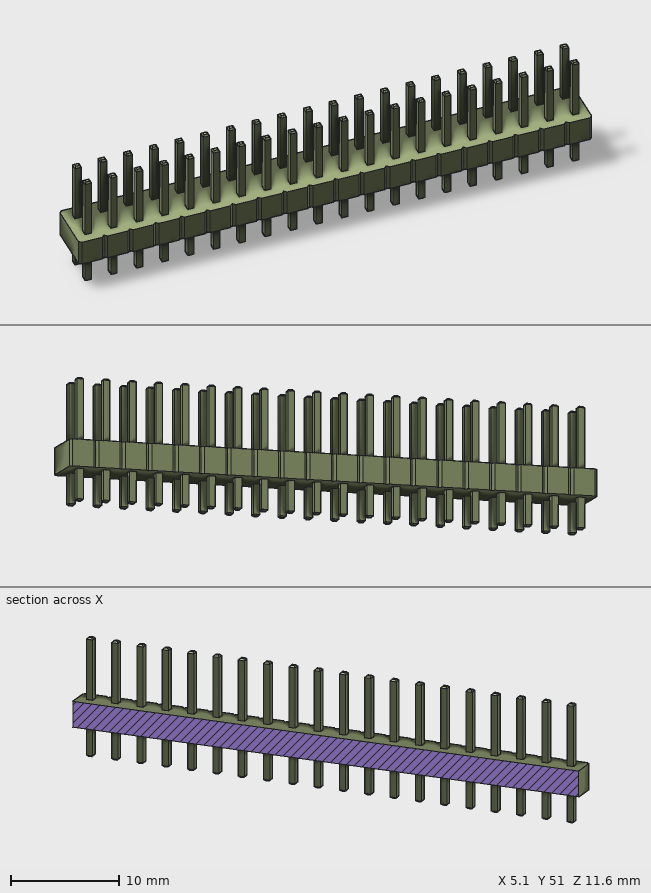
import cadquery as cq

pitch = 2.55
pin_rows = 20
pin_columns = 2

body_width = pin_columns * pitch
body_length = pin_rows * pitch
body_height = pitch
corner_chamfer = 0.25

pin_side = pitch / 4
pin_above_body = 6.0
pin_below_body = 3.0
pin_tip_chamfer = 0.15
pin_length = pin_below_body + body_height + pin_above_body


def centred_places(count):
    """Positions of `count` items spaced one pitch apart and centred on zero."""
    return [(index - (count - 1) / 2) * pitch for index in range(count)]


def make_body():
    """One chamfered block per pin row; the chamfers leave V notches between neighbours."""
    half_width = body_width / 2
    right_side = []
    for row_y in centred_places(pin_rows):
        start_y = row_y - pitch / 2
        end_y = row_y + pitch / 2
        right_side += [
            (half_width - corner_chamfer, start_y),
            (half_width, start_y + corner_chamfer),
            (half_width, end_y - corner_chamfer),
        ]
    right_side.append((half_width - corner_chamfer, body_length / 2))
    left_side = [(-x, y) for x, y in reversed(right_side)]
    return cq.Workplane("XY").polyline(right_side + left_side).close().extrude(body_height)


def make_pins():
    """Pins running straight through the body, bevelled at both ends."""
    pin = (
        cq.Workplane("XY")
        .box(pin_side, pin_side, pin_length, centered=(True, True, False))
        .faces("<Z or >Z")
        .chamfer(pin_tip_chamfer)
        .translate((0, 0, -pin_below_body))
        .val()
    )
    pin_places = [
        cq.Location(cq.Vector(x, y, 0))
        for x in centred_places(pin_columns)
        for y in centred_places(pin_rows)
    ]
    return cq.Compound.makeCompound([pin.moved(place) for place in pin_places])


result = make_body().union(cq.Workplane(make_pins()))